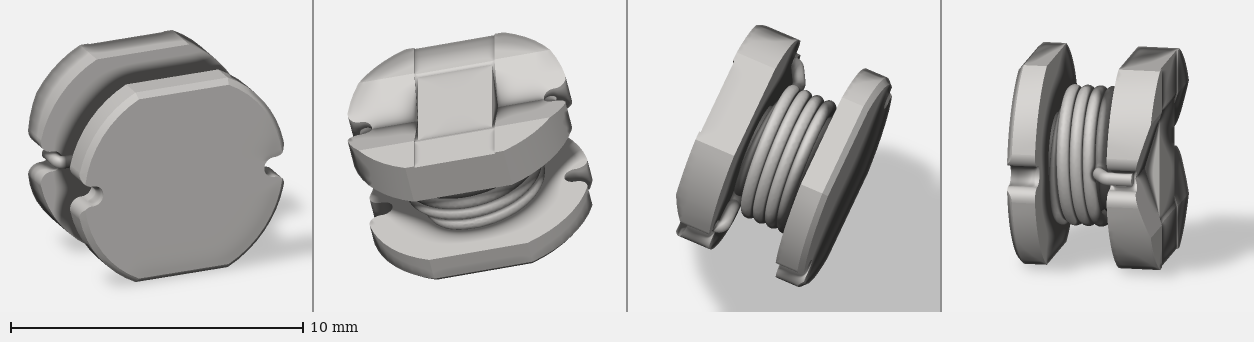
import cadquery as cq
import math

pad_thickness = 0.05
base_thickness = 1.4
post_length = 2.5
head_thickness = 1.0
head_chamfer = 0.19
post_diameter = 2.9

base_front = pad_thickness
base_back = base_front + base_thickness
head_front = base_back + post_length
head_back = head_front + head_thickness

flange_radius = 3.9
flange_height = 7.0
notch_half_width = 0.37
notch_bottom_y = 3.01
notch_lip_radius = 0.4

groove_half_width = 2.0
groove_depth = 0.6
pad_inner_y = 1.405
block_half_width = 1.3
block_recess = 0.045

inner_wire_diameter = 0.43
inner_coil_radius = 1.7
inner_pitch = 0.435
inner_turns = 4.5
inner_start_x = 1.68

outer_wire_diameter = 0.44
outer_coil_radius = 2.2
outer_pitch = 0.45
outer_start_angle = 9.5
outer_turns = 3.75 - outer_start_angle / 360
outer_start_x = 1.945

lead_end_x = 0.66
inner_lead_bend = 0.23
inner_hook_radius = 0.29
inner_hook_angle = math.radians(56)
outer_lead_bend = 0.25
outer_lead_slope = math.radians(60)
outer_lead_foot_y = 2.54
outer_lead_foot_length = 0.015


def extrude_along_x(sketch, start, thickness):
    return sketch.extrude(thickness).translate((start, 0, 0))


def flange_blank(start, thickness):
    """Disc with a flat top and bottom."""
    disc = extrude_along_x(cq.Workplane("YZ").circle(flange_radius), start, thickness)
    slab = cq.Workplane("YZ").rect(2 * flange_radius, flange_height)
    return disc.intersect(extrude_along_x(slab, start, thickness))


def notch_cutter(side):
    """Lead notch at +Y (side = 1) or -Y (side = -1), flaring out along its rounded lips."""
    lip_z = notch_half_width + notch_lip_radius
    lip_y = math.sqrt((flange_radius - notch_lip_radius) ** 2 - lip_z**2)
    reach = flange_radius / (flange_radius - notch_lip_radius)
    rim_y, rim_z = lip_y * reach, lip_z * reach
    mid_angle = (math.atan2(lip_z, lip_y) - math.pi / 2) / 2
    mid_y = lip_y + notch_lip_radius * math.cos(mid_angle)
    mid_z = lip_z + notch_lip_radius * math.sin(mid_angle)
    arc_y = notch_bottom_y + notch_half_width
    outside_y = flange_radius + notch_lip_radius
    outline = (
        cq.Workplane("YZ")
        .moveTo(side * outside_y, rim_z)
        .lineTo(side * rim_y, rim_z)
        .threePointArc((side * mid_y, mid_z), (side * lip_y, notch_half_width))
        .lineTo(side * arc_y, notch_half_width)
        .threePointArc((side * notch_bottom_y, 0), (side * arc_y, -notch_half_width))
        .lineTo(side * lip_y, -notch_half_width)
        .threePointArc((side * mid_y, -mid_z), (side * rim_y, -rim_z))
        .lineTo(side * outside_y, -rim_z)
        .close()
    )
    return outline.extrude(head_back)


def cut_notches(body):
    return body.cut(notch_cutter(1)).cut(notch_cutter(-1))


def groove_cutter():
    """V prism across the whole base, less the block that stays in its middle."""
    block_front = base_front + block_recess
    groove_apex = base_front + groove_depth
    prism = (
        cq.Workplane("XZ")
        .moveTo(base_front, groove_half_width)
        .lineTo(groove_apex, 0)
        .lineTo(base_front, -groove_half_width)
        .close()
        .extrude(flange_radius, both=True)
    )
    block = (
        cq.Workplane("XY")
        .moveTo(block_front, -block_half_width)
        .lineTo(groove_apex, -pad_inner_y)
        .lineTo(groove_apex, pad_inner_y)
        .lineTo(block_front, block_half_width)
        .close()
        .extrude(groove_half_width, both=True)
    )
    return prism.cut(block)


def pad_layer(side):
    """Terminal pad of even thickness that follows the base front and the groove."""
    half_height = flange_height / 2
    half_slope = math.atan2(groove_depth, groove_half_width) / 2
    shoulder_z = groove_half_width - pad_thickness * math.tan(half_slope)
    apex_x = base_front + groove_depth - pad_thickness / math.cos(2 * half_slope)
    layer = (
        cq.Workplane("XZ", origin=(0, side * pad_inner_y, 0))
        .moveTo(0, half_height)
        .lineTo(0, shoulder_z)
        .lineTo(apex_x, 0)
        .lineTo(0, -shoulder_z)
        .lineTo(0, -half_height)
        .lineTo(base_front, -half_height)
        .lineTo(base_front, -groove_half_width)
        .lineTo(base_front + groove_depth, 0)
        .lineTo(base_front, groove_half_width)
        .lineTo(base_front, half_height)
        .close()
        .extrude(-side * flange_radius)
    )
    return layer.intersect(flange_blank(0, base_back))


def drum_core():
    """One solid; the edges where the pads meet the base are kept."""
    base = cut_notches(flange_blank(base_front, base_thickness).cut(groove_cutter()))
    post = extrude_along_x(cq.Workplane("YZ").circle(post_diameter / 2), base_back, post_length)
    head = flange_blank(head_front, head_thickness).faces(">X").chamfer(head_chamfer)
    core = base.union(post).union(cut_notches(head))
    for side in (1, -1):
        core = core.union(cut_notches(pad_layer(side)), clean=False)
    return core


def coil(radius, pitch, turns, start_x, start_angle, left_handed):
    """Helix around X; the start angle in degrees runs from +Y towards +Z."""
    helix = cq.Wire.makeHelix(pitch, pitch * turns, radius, lefthand=left_handed)
    start_plane = cq.Plane(origin=(start_x, 0, 0), xDir=(0, 1, 0), normal=(1, 0, 0))
    placed = helix.moved(cq.Location(start_plane))
    return placed.rotate(cq.Vector(0, 0, 0), cq.Vector(1, 0, 0), start_angle).Edges()[0]


def blend(start, start_direction, end, end_direction):
    """Smooth curve that leaves and arrives in the given directions."""
    return cq.Edge.makeSpline([start, end], tangents=[start_direction, end_direction])


def bent_lead(corners, bend_radius):
    """Straight runs between the corners, with a round bend at each inner corner."""
    points = [cq.Vector(*corner) for corner in corners]
    edges = []
    run_start = points[0]
    for before, corner, after in zip(points, points[1:], points[2:]):
        back = (before - corner).normalized()
        ahead = (after - corner).normalized()
        half_angle = back.getAngle(ahead) / 2
        trim = bend_radius / math.tan(half_angle)
        bisector = (back + ahead).normalized()
        bend_middle = corner + bisector * (bend_radius / math.sin(half_angle) - bend_radius)
        bend_start = corner + back * trim
        bend_end = corner + ahead * trim
        edges.append(cq.Edge.makeLine(run_start, bend_start))
        edges.append(cq.Edge.makeThreePointArc(bend_start, bend_middle, bend_end))
        run_start = bend_end
    edges.append(cq.Edge.makeLine(run_start, points[-1]))
    return edges


def sweep_wire(edges, diameter):
    path = cq.Wire.assembleEdges(edges)
    end_plane = cq.Plane(origin=edges[0].startPoint(), normal=edges[0].tangentAt(0))
    return cq.Workplane(end_plane).circle(diameter / 2).sweep(cq.Workplane(obj=path))


def outer_winding(helix):
    lead_y = notch_bottom_y + outer_wire_diameter / 2
    lead_x = outer_start_x
    foot_bend_angle = math.pi / 2 - outer_lead_slope
    bend_length = outer_lead_bend * math.tan(foot_bend_angle / 2)
    slant_end_y = outer_lead_foot_y + outer_lead_foot_length + bend_length
    slant_start_x = lead_x - (lead_y - slant_end_y) / math.tan(outer_lead_slope)
    foot = cq.Vector(lead_x, outer_lead_foot_y, 0)
    corners = [
        (lead_end_x, lead_y, 0),
        (slant_start_x, lead_y, 0),
        (lead_x, slant_end_y, 0),
        foot.toTuple(),
    ]
    lead = bent_lead(corners, outer_lead_bend)
    turn_up = blend(foot, cq.Vector(0, -1, 0), helix.startPoint(), helix.tangentAt(0))
    return sweep_wire([*lead, turn_up, helix], outer_wire_diameter)


def inner_winding(outer_helix):
    helix = coil(inner_coil_radius, inner_pitch, inner_turns, inner_start_x, 180, True)
    lead_y = -notch_bottom_y - inner_wire_diameter / 2
    x = inner_start_x
    sine, cosine = math.sin(inner_hook_angle), math.cos(inner_hook_angle)
    rise_radius = inner_hook_radius * cosine / (1 - cosine)
    hook_y = -inner_coil_radius - inner_hook_radius
    hook_end = cq.Vector(x, hook_y - inner_hook_radius * sine, -inner_hook_radius * cosine)
    lead_start = cq.Vector(x, hook_end.y - rise_radius * sine, 0)
    lead = bent_lead([(lead_end_x, lead_y, 0), (x, lead_y, 0), lead_start.toTuple()], inner_lead_bend)
    rise = cq.Edge.makeTangentArc(lead_start, cq.Vector(0, 1, 0), hook_end)
    hook = blend(hook_end, rise.tangentAt(1), helix.startPoint(), helix.tangentAt(0))
    climb = blend(
        helix.endPoint(), helix.tangentAt(1), outer_helix.endPoint(), outer_helix.tangentAt(1) * -1
    )
    return sweep_wire([*lead, rise, hook, helix, climb], inner_wire_diameter)


outer_helix = coil(
    outer_coil_radius, outer_pitch, outer_turns, outer_start_x, outer_start_angle, False
)
core = drum_core()
outer_wire = outer_winding(outer_helix)
inner_wire = inner_winding(outer_helix)

result = cq.Compound.makeCompound([core.val(), inner_wire.val(), outer_wire.val()])